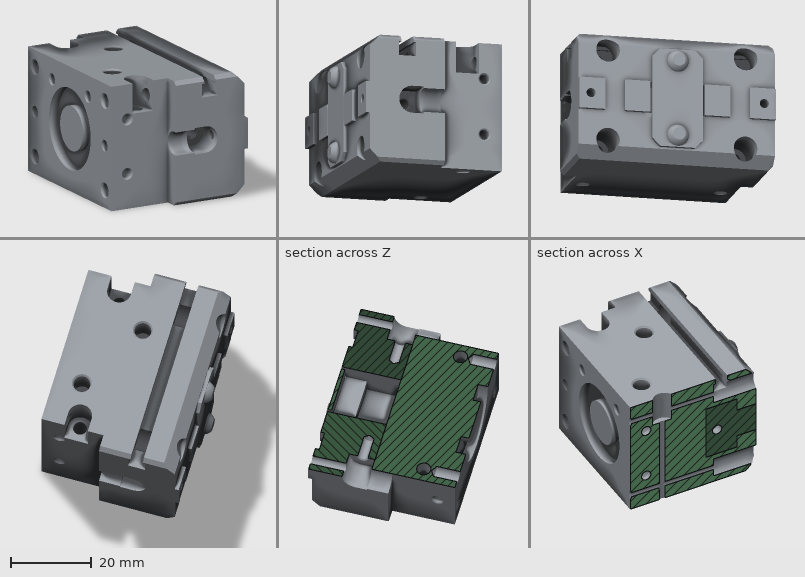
import cadquery as cq
import math


LENGTH = 50.0
HEIGHT = 32.0
BASE_LENGTH = 42.0
BASE_DEPTH = 16.0
REAR_Y = 35.5
JAW_REAR_Y = 36.5
REAR_CHAMFER = 3.0
END_CHAMFER = 1.0
THREAD_CHAMFER = 0.3
DRILL_POINT_ANGLE = 118.0

HEAD_FRONT_Y = 21.4
HEAD_REAR_Y = 30.0
HEAD_HEIGHT = 14.9
STEM_HEIGHT = 7.9
JAW_INNER_X = 6.9
GROOVE_INNER_X = 13.45
GROOVE_OUTER_X = 18.45
POCKET_RADIUS = 3.4
POCKET_DEPTH = 7.0
POCKET_AXIS_Y = 24.45
JAW_PIN_RADIUS = 1.15
JAW_PIN_X = 22.05

SENSOR_SLOT_Y = 25.7
SENSOR_NECK_WIDTH = 3.2
SENSOR_NECK_DEPTH = 1.55
SENSOR_WIDTH = 4.4
SENSOR_DEPTH = 5.05

BOLT_X = 17.5
BOLT_Z = 11.5
BOLT_RADIUS = 1.65
BOLT_CHAMFER = 0.35
BOLT_HEAD_RADIUS = 3.0
SIDE_BOLT_Y = 8.95
SIDE_BOLT_RADIUS = 1.7
SIDE_BOLT_HEAD_DEPTH = 7.75
DOWEL_RADIUS = 1.5
DOWEL_DEPTH = 6.0
THREAD_RADIUS = 1.25
THREAD_DEPTH = 6.0
SIDE_THREAD_Y = 4.5
SIDE_THREAD_Z = 7.0
PORT_X = 9.0
PORT_YS = (17.5, 7.0)
PORT_RADIUS = 2.1
PORT_CHAMFER = 0.4
PORT_DEPTH = 6.5
PORT_PILOT_RADIUS = 0.5
PORT_PILOT_DEPTH = 2.0
FRONT_PORT_Z = 10.5
SHOULDER_SLOT_RADIUS = 3.0

RING_OUTER_RADIUS = 10.5
RING_INNER_RADIUS = 5.75
RING_DEPTH = 2.5
BOSS_SETBACK = 0.5

PLATE_LENGTH = 12.85
PLATE_HEIGHT = 25.0
PLATE_CHAMFER = 2.0
SCREW_Z = 9.5
SCREW_RADIUS = 2.75
SCREW_TOP_RADIUS = 1.6
SCREW_HEIGHT = 1.65

TOP_Z = HEIGHT / 2
SIDES = (-1, 1)
INTO_FRONT = cq.Vector(0, 1, 0)
DOWN = cq.Vector(0, 0, -1)


def box(x_range, y_range, z_range):
    """Box between the given pairs of limits."""
    lows, highs = zip(*(sorted(limits) for limits in (x_range, y_range, z_range)))
    sizes = [high - low for low, high in zip(lows, highs)]
    return cq.Workplane("XY").box(*sizes, centered=False).translate(lows)


def cylinder(start, direction, radius, length):
    """Cylinder from its start centre along a direction."""
    return cq.Workplane(cq.Solid.makeCylinder(radius, length, cq.Vector(*start), direction))


def entry_chamfer(start, direction, radius, size):
    """Cone that widens a hole mouth by size."""
    return cq.Workplane(cq.Solid.makeCone(radius + size, radius, size, cq.Vector(*start), direction))


def blind_hole(start, direction, radius, depth, chamfer=0.0):
    """Drilled hole with a conical bottom and an optional entry chamfer."""
    point_length = radius / math.tan(math.radians(DRILL_POINT_ANGLE / 2))
    bottom = cq.Vector(*start) + direction * depth
    tip = cq.Solid.makeCone(radius, 0, point_length, bottom, direction)
    hole = cylinder(start, direction, radius, depth).union(cq.Workplane(tip))
    if chamfer:
        hole = hole.union(entry_chamfer(start, direction, radius, chamfer))
    return hole


def t_bar(x_range):
    """T-section bar along X: wide head in front, narrow stem reaching the jaw rear face."""
    head = box(x_range, (HEAD_FRONT_Y, HEAD_REAR_Y), (-HEAD_HEIGHT / 2, HEAD_HEIGHT / 2))
    stem = box(x_range, (HEAD_FRONT_Y, JAW_REAR_Y), (-STEM_HEIGHT / 2, STEM_HEIGHT / 2))
    return head.union(stem)


def housing_blank():
    """Chamfered guide block joined to the narrower front block."""
    guide = box((-LENGTH / 2, LENGTH / 2), (BASE_DEPTH, REAR_Y), (-TOP_Z, TOP_Z))
    guide = guide.edges("|X and >Y").chamfer(REAR_CHAMFER)
    end_prism = (
        cq.Workplane("XZ")
        .rect(LENGTH, HEIGHT)
        .extrude(-REAR_Y)
        .edges("|Y")
        .chamfer(END_CHAMFER)
    )
    front = box((-BASE_LENGTH / 2, BASE_LENGTH / 2), (0, BASE_DEPTH), (-TOP_Z, TOP_Z))
    return guide.intersect(end_prism).union(front)


def cover_plate():
    """Plate with chamfered corners on the rear face."""
    return (
        cq.Workplane("XZ", origin=(0, REAR_Y, 0))
        .rect(PLATE_LENGTH, PLATE_HEIGHT)
        .extrude(REAR_Y - JAW_REAR_Y)
        .edges("|Y")
        .chamfer(PLATE_CHAMFER)
    )


def screw_head(z):
    """Spherical button head with a flat top, on the cover plate."""
    drop = (SCREW_RADIUS**2 - SCREW_TOP_RADIUS**2 - SCREW_HEIGHT**2) / (2 * SCREW_HEIGHT)
    sphere_radius = math.hypot(SCREW_RADIUS, drop)
    mid_height = SCREW_HEIGHT / 2
    mid_radius = math.sqrt(sphere_radius**2 - (drop + mid_height) ** 2)
    return (
        cq.Workplane("XY")
        .lineTo(SCREW_RADIUS, 0)
        .threePointArc((mid_radius, mid_height), (SCREW_TOP_RADIUS, SCREW_HEIGHT))
        .lineTo(0, SCREW_HEIGHT)
        .close()
        .revolve(360, (0, 0), (0, 1))
        .translate((0, JAW_REAR_Y, z))
    )


def sensor_slot():
    """T-shaped slot along X in the top face."""
    def channel(width, top, bottom):
        return box(
            (-LENGTH / 2, LENGTH / 2),
            (SENSOR_SLOT_Y - width / 2, SENSOR_SLOT_Y + width / 2),
            (bottom, top),
        )

    floor_z = TOP_Z - SENSOR_DEPTH
    neck = channel(SENSOR_NECK_WIDTH, TOP_Z, floor_z)
    return neck.union(channel(SENSOR_WIDTH, TOP_Z - SENSOR_NECK_DEPTH, floor_z))


def ring_recess():
    """Round recess in the front face, around a boss that stays just below the face."""
    recess = cylinder((0, 0, 0), INTO_FRONT, RING_OUTER_RADIUS, RING_DEPTH)
    boss = cylinder((0, BOSS_SETBACK, 0), INTO_FRONT, RING_INNER_RADIUS, RING_DEPTH)
    return recess.cut(boss)


def mounting_bolt(x, z):
    """Through hole along Y, chamfered in front and counterbored from the rear to the sensor slot."""
    start = (x, 0, z)
    head_y = SENSOR_SLOT_Y - SENSOR_WIDTH / 2
    hole = cylinder(start, INTO_FRONT, BOLT_RADIUS, REAR_Y)
    counterbore = cylinder((x, head_y, z), INTO_FRONT, BOLT_HEAD_RADIUS, REAR_Y - head_y)
    return hole.union(counterbore).union(entry_chamfer(start, INTO_FRONT, BOLT_RADIUS, BOLT_CHAMFER))


def side_bolt(side):
    """Through hole along Z with a U-shaped head recess open to the end face."""
    x = side * BOLT_X
    start = (x, SIDE_BOLT_Y, TOP_Z)
    hole = cylinder(start, DOWN, SIDE_BOLT_RADIUS, HEIGHT)
    round_end = cylinder(start, DOWN, BOLT_HEAD_RADIUS, SIDE_BOLT_HEAD_DEPTH)
    opening = box(
        (x, side * BASE_LENGTH / 2),
        (SIDE_BOLT_Y - BOLT_HEAD_RADIUS, SIDE_BOLT_Y + BOLT_HEAD_RADIUS),
        (TOP_Z - SIDE_BOLT_HEAD_DEPTH, TOP_Z),
    )
    return hole.union(round_end).union(opening)


def shoulder_slot(side):
    """U-shaped slot along Y through the shoulder into the T-slot, tangent to the front block."""
    x = side * (BASE_LENGTH / 2 + SHOULDER_SLOT_RADIUS)
    length = HEAD_FRONT_Y - BASE_DEPTH
    round_end = cylinder((x, BASE_DEPTH, 0), INTO_FRONT, SHOULDER_SLOT_RADIUS, length)
    opening = box(
        (x, side * LENGTH / 2),
        (BASE_DEPTH, HEAD_FRONT_Y),
        (-SHOULDER_SLOT_RADIUS, SHOULDER_SLOT_RADIUS),
    )
    return round_end.union(opening)


def air_port(side, y):
    """Port from the top with a pilot hole, met at its axis by a threaded hole from the front."""
    x = side * PORT_X
    mouth = (x, y, TOP_Z)
    front_mouth = (x, 0, FRONT_PORT_Z)
    port = cylinder(mouth, DOWN, PORT_RADIUS, PORT_DEPTH)
    pilot = blind_hole((x, y, TOP_Z - PORT_DEPTH), DOWN, PORT_PILOT_RADIUS, PORT_PILOT_DEPTH)
    front_hole = cylinder(front_mouth, INTO_FRONT, THREAD_RADIUS, y)
    return (
        port.union(pilot)
        .union(entry_chamfer(mouth, DOWN, PORT_RADIUS, PORT_CHAMFER))
        .union(front_hole)
        .union(entry_chamfer(front_mouth, INTO_FRONT, THREAD_RADIUS, THREAD_CHAMFER))
    )


def end_holes(side):
    """All housing cuts that repeat at both ends."""
    inward = cq.Vector(-side, 0, 0)
    cuts = side_bolt(side).union(shoulder_slot(side))
    cuts = cuts.union(blind_hole((side * BOLT_X, 0, 0), INTO_FRONT, DOWEL_RADIUS, DOWEL_DEPTH))
    for level in (-1, 1):
        cuts = cuts.union(mounting_bolt(side * BOLT_X, level * BOLT_Z))
        thread_start = (side * BASE_LENGTH / 2, SIDE_THREAD_Y, level * SIDE_THREAD_Z)
        cuts = cuts.union(blind_hole(thread_start, inward, THREAD_RADIUS, THREAD_DEPTH, THREAD_CHAMFER))
    return cuts


def make_housing():
    body = housing_blank().cut(t_bar((-LENGTH / 2, LENGTH / 2)))
    body = body.union(cover_plate())
    for level in (-1, 1):
        body = body.union(screw_head(level * SCREW_Z))
    body = body.cut(sensor_slot()).cut(ring_recess())
    for side, port_y in zip(SIDES, PORT_YS):
        body = body.cut(end_holes(side)).cut(air_port(side, port_y))
    return body


def jaw_pocket(side):
    """U-shaped pocket in the jaw end, open towards the shoulder slot."""
    inward = cq.Vector(-side, 0, 0)
    end_x = side * LENGTH / 2
    round_end = cylinder((end_x, POCKET_AXIS_Y, 0), inward, POCKET_RADIUS, POCKET_DEPTH)
    opening = box(
        (end_x, end_x - side * POCKET_DEPTH),
        (HEAD_FRONT_Y, POCKET_AXIS_Y),
        (-POCKET_RADIUS, POCKET_RADIUS),
    )
    floor_centre = (end_x - side * POCKET_DEPTH, POCKET_AXIS_Y, 0)
    thread = blind_hole(floor_centre, inward, THREAD_RADIUS, THREAD_DEPTH, THREAD_CHAMFER)
    return round_end.union(opening).union(thread)


def make_jaw(side):
    """Jaw on the -X (-1) or +X (+1) side, flush with the housing end."""
    jaw = t_bar((side * JAW_INNER_X, side * LENGTH / 2))
    groove = box(
        (side * GROOVE_INNER_X, side * GROOVE_OUTER_X),
        (REAR_Y, JAW_REAR_Y),
        (-STEM_HEIGHT / 2, STEM_HEIGHT / 2),
    )
    pin_start = (side * JAW_PIN_X, POCKET_AXIS_Y, 0)
    pin_hole = cylinder(pin_start, INTO_FRONT, JAW_PIN_RADIUS, JAW_REAR_Y - POCKET_AXIS_Y)
    return jaw.cut(groove).cut(jaw_pocket(side)).cut(pin_hole)


housing = make_housing()
jaws = [make_jaw(side) for side in SIDES]

result = cq.Compound.makeCompound([housing.val(), *(jaw.val() for jaw in jaws)])